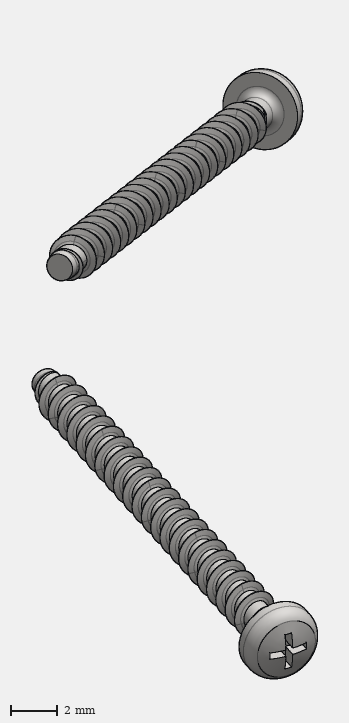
import cadquery as cq
import math


total_length = 23.37

head_radius = 1.75
head_height = 1.35
rim_height = 0.42
crown_radius = 3.5
crown_edge_radius = 1.4

recess_arm_length = 0.89
recess_arm_width = 0.33
recess_depth = 0.7

shank_radius = 0.75
shank_length = 1.03
neck_fillet = 0.37
core_radius = 0.665
tip_radius = 0.6
tip_taper_length = 0.35

thread_radius = 1.05
pitch = 0.89
tip_phase_height = 0.68
thread_tip_height = 0.25
segment_turns = 1.25
segment_count = 19
end_growth = 0.12
crest_width = 0.02
flank_break_radius = 0.8
flank_break_width = 0.16
root_radius = 0.58
root_width = 0.35
segment_points = 31

bearing_height = total_length - head_height
rim_top_height = bearing_height + rim_height
shank_end_height = bearing_height - shank_length


def sphere_drop(radius, distance):
    """Fall of a sphere's surface below its apex at a distance from the axis."""
    return radius - math.sqrt(radius**2 - distance**2)


def make_body():
    """Revolve the head, neck, shank and core in one profile."""
    inner_corner = recess_arm_width / math.sqrt(2)
    apex_height = total_length + sphere_drop(crown_radius, inner_corner)
    crown_edge_height = apex_height - sphere_drop(crown_radius, crown_edge_radius)

    shoulder_width = head_radius - crown_edge_radius
    shoulder_height = crown_edge_height - rim_top_height
    shoulder_radius = (shoulder_width**2 + shoulder_height**2) / (2 * shoulder_width)

    return (
        cq.Workplane("XZ")
        .lineTo(tip_radius, 0)
        .lineTo(core_radius, tip_taper_length)
        .lineTo(core_radius, shank_end_height)
        .lineTo(shank_radius, shank_end_height)
        .lineTo(shank_radius, bearing_height - neck_fillet)
        .radiusArc((shank_radius + neck_fillet, bearing_height), neck_fillet)
        .lineTo(head_radius, bearing_height)
        .lineTo(head_radius, rim_top_height)
        .radiusArc((crown_edge_radius, crown_edge_height), -shoulder_radius)
        .radiusArc((0, apex_height), -crown_radius)
        .close()
        .revolve(360, (0, 0, 0), (0, 1, 0))
    )


def tooth_corner_point(radius, offset, segment_position):
    """Place one corner of the tooth; the position counts segments up from the tip."""
    runout_fraction = min(1, segment_position, segment_count - segment_position)
    growth = end_growth + (1 - end_growth) * runout_fraction
    reach = root_radius + (radius - root_radius) * growth
    height = thread_tip_height + segment_position * segment_turns * pitch
    angle = 2 * math.pi * (height - tip_phase_height) / pitch
    return cq.Vector(reach * math.cos(angle), reach * math.sin(angle), height + offset)


def make_thread():
    """Skin a right-hand helical tooth, segment by segment, and cap the two ends."""
    tooth_corners = [
        (root_radius, -root_width / 2),
        (flank_break_radius, -flank_break_width / 2),
        (thread_radius, -crest_width / 2),
        (thread_radius, crest_width / 2),
        (flank_break_radius, flank_break_width / 2),
        (root_radius, root_width / 2),
    ]
    fractions = [i / (segment_points - 1) for i in range(segment_points)]
    faces = []
    for segment in range(segment_count):
        edges = []
        for radius, offset in tooth_corners:
            points = [tooth_corner_point(radius, offset, segment + fraction) for fraction in fractions]
            edges.append(cq.Edge.makeSpline(points, parameters=fractions))
        for i in range(len(edges)):
            faces.append(cq.Face.makeRuledSurface(edges[i - 1], edges[i]))
    for end in (0, segment_count):
        corners = [tooth_corner_point(radius, offset, end) for radius, offset in tooth_corners]
        faces.append(cq.Face.makeFromWires(cq.Wire.makePolygon(corners, close=True)))
    return cq.Workplane(cq.Solid.makeSolid(cq.Shell.makeShell(faces)))


def make_recess():
    """Two crossed slots sunk into the crown."""
    cutter_height = recess_depth + 0.23
    floor = cq.Workplane("XY").workplane(offset=total_length - recess_depth)
    slot_x = floor.rect(2 * recess_arm_length, recess_arm_width).extrude(cutter_height)
    slot_y = floor.rect(recess_arm_width, 2 * recess_arm_length).extrude(cutter_height)
    return slot_x.union(slot_y)


screw = make_body().cut(make_recess()).union(make_thread(), clean=False)
result = screw.rotate((0, 0, 0), (1, 0, 0), -90).solids()